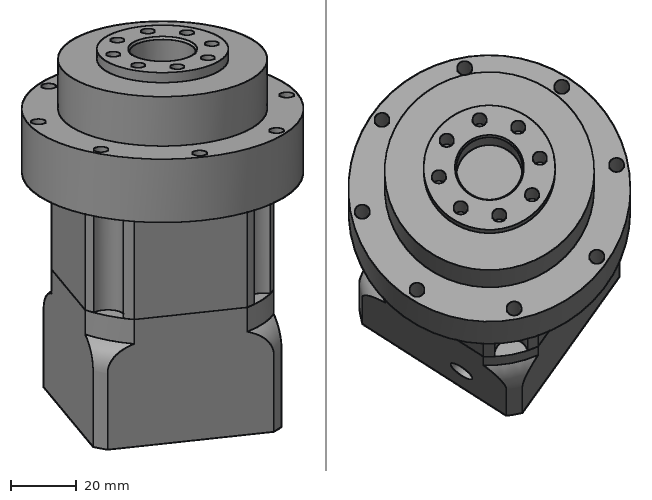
import cadquery as cq
import math

total_height = 117.0
adapter_height = 41.7
body_width = 60.0
neck_radius = 35.0

foot_radius = 40.0
swell_start = 25.0
swell_arc_radius = 10.0
swell_step = foot_radius - neck_radius
swell_angle = math.acos(1 - swell_step / swell_arc_radius)
swell_end = swell_start + swell_arc_radius * math.sin(swell_angle)

spigot_diameter = 28.1

access_diameter = 8.0
access_y = -10.0
access_z = 15.0

flange_diameter = 86.0
flange_bottom = 76.9
flange_top = 97.6
pilot_diameter = 63.9
pilot_top = 113.7
groove_radius = 5.1
groove_circle_radius = 35.1
groove_count = 4
corner_angle = 45.0
flange_hole_count = 8
flange_hole_diameter = 4.6
flange_hole_circle = 79.0

disc_diameter = 40.1
disc_bottom = flange_top
bore_diameter = 20.1
bore_depth = 8.2
bore_mouth_flare = 0.5
bore_mouth_depth = 0.8
disc_hole_count = 8
disc_hole_diameter = 4.3
disc_hole_circle = 31.4
disc_hole_depth = 10.0
drill_point_angle = 118.0


def cylinder(diameter, bottom, top):
    return cq.Workplane("XY").workplane(offset=bottom).circle(diameter / 2).extrude(top - bottom)


def square_bar(bottom, top):
    return cq.Workplane("XY").workplane(offset=bottom).rect(body_width, body_width).extrude(top - bottom)


def ring_of(tool, radius, count, start_angle=0.0):
    """Copies of a tool standing on the Z axis, spread evenly around a circle."""
    copies = []
    for i in range(count):
        angle = start_angle + i * 360 / count
        copies.append(tool.translate((radius, 0, 0)).rotate((0, 0, 0), (0, 0, 1), angle))
    return copies


def cut_all(body, tools):
    for tool in tools:
        body = body.cut(tool)
    return body


def make_adapter():
    arc_centre_radius = foot_radius - swell_arc_radius
    arc_middle = (
        arc_centre_radius + swell_arc_radius * math.cos(swell_angle / 2),
        swell_start + swell_arc_radius * math.sin(swell_angle / 2),
    )
    envelope = (
        cq.Workplane("XZ")
        .lineTo(foot_radius, 0)
        .lineTo(foot_radius, swell_start)
        .threePointArc(arc_middle, (neck_radius, swell_end))
        .lineTo(neck_radius, adapter_height)
        .lineTo(0, adapter_height)
        .close()
        .revolve(360, (0, 0, 0), (0, 1, 0))
    )
    block = square_bar(0, adapter_height).intersect(envelope)

    spigot_bore = cylinder(spigot_diameter, 0, adapter_height)
    access_hole = (
        cq.Workplane("YZ")
        .center(access_y, access_z)
        .circle(access_diameter / 2)
        .extrude(-body_width / 2)
    )
    return block.cut(spigot_bore).cut(access_hole)


def make_housing():
    neck = square_bar(adapter_height, flange_bottom).intersect(
        cylinder(2 * neck_radius, adapter_height, flange_bottom)
    )
    groove = cylinder(2 * groove_radius, adapter_height, flange_bottom)
    neck = cut_all(neck, ring_of(groove, groove_circle_radius, groove_count, corner_angle))

    flange = cylinder(flange_diameter, flange_bottom, flange_top)
    flange_hole = cylinder(flange_hole_diameter, flange_bottom, flange_top)
    flange = cut_all(flange, ring_of(flange_hole, flange_hole_circle / 2, flange_hole_count))

    pilot = cylinder(pilot_diameter, flange_top, pilot_top)
    spigot = cylinder(spigot_diameter, 0, adapter_height)
    disc_seat = cylinder(disc_diameter, disc_bottom, pilot_top)
    return neck.union(flange).union(pilot).union(spigot).cut(disc_seat)


def make_drilled_hole():
    """Blind hole with a conical drill point, entering from the top of the disc."""
    radius = disc_hole_diameter / 2
    shoulder = total_height - disc_hole_depth
    tip = shoulder - radius / math.tan(math.radians(drill_point_angle / 2))
    return (
        cq.Workplane("XZ")
        .moveTo(0, tip)
        .lineTo(radius, shoulder)
        .lineTo(radius, total_height)
        .lineTo(0, total_height)
        .close()
        .revolve(360, (0, 0, 0), (0, 1, 0))
    )


def make_output_disc():
    disc = cylinder(disc_diameter, disc_bottom, total_height)
    bore = cylinder(bore_diameter, total_height - bore_depth, total_height)
    bore_mouth = (
        cq.Workplane("XY")
        .workplane(offset=total_height - bore_mouth_depth)
        .circle(bore_diameter / 2)
        .workplane(offset=bore_mouth_depth)
        .circle(bore_diameter / 2 + bore_mouth_flare)
        .loft()
    )
    disc = disc.cut(bore).cut(bore_mouth)
    return cut_all(disc, ring_of(make_drilled_hole(), disc_hole_circle / 2, disc_hole_count))


adapter = make_adapter()
housing = make_housing()
output_disc = make_output_disc()

result = cq.Compound.makeCompound([adapter.val(), housing.val(), output_disc.val()])